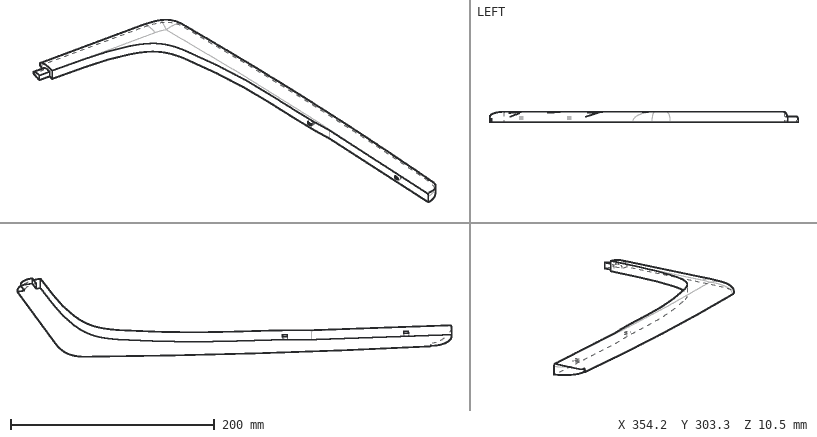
import cadquery as cq
import math

height = 10.5
lip_height = 1.0
arm_width = 24.0

short_heading = 98.9
short_length = 117.2
easy_radius = 67.3
bends = [
    (easy_radius, 15.2),
    (arm_width, 57.1),
    (3896.5, 5.6),
]

short_lean = math.radians(short_heading - 90)
short_end = (
    short_length * math.sin(short_lean) + easy_radius * (1 - math.cos(short_lean)),
    10.3,
)

web_points = [
    (36.5, 60.2), (35.0, 94.0), (42.5, 127.5), (73.0, 154.8), (125.7, 186.0), (227.5, 234.5),
]
tip_point = (354.2, 289.5)
tip_middle = (345.7, 300.0)
tip_start = (325.0, 301.0)
tip_rounding = 2.0

tenon_inset = 7.5
tenon_width = 12.0
tenon_height = 6.0
tenon_length = 11.7

slot_centers = [(203.5, 223.5), (312.8, 272.0)]
slot_heading = 24.0
slot_length = 4.5
slot_height = 2.0
slot_level = 4.5
slot_depth = 3.5

margin = 35.5


def step(point, heading, distance):
    """Point reached by moving a distance along a heading."""
    angle = math.radians(heading)
    return (point[0] + distance * math.cos(angle), point[1] + distance * math.sin(angle))


def edge_section(point, heading, width, top, lip):
    """Section across the arm, starting at its outer edge and reaching inward."""
    inward = step((0, 0), heading - 90, 1)
    backward = step((0, 0), heading + 180, 1)
    plane = cq.Plane(origin=(*point, 0), xDir=(*inward, 0), normal=(*backward, 0))
    return (
        cq.Workplane(plane)
        .lineTo(0, lip)
        .ellipseArc(width, top - lip, 90, 180, sense=-1)
        .lineTo(width, 0)
        .close()
    )


def make_rail():
    """Rounded outer part of both arms, and the line along its inner side."""
    point = short_end
    heading = short_heading
    inner_line = cq.Workplane("XY").moveTo(*step(point, heading - 90, arm_width))

    rail = edge_section(point, heading, arm_width, height, lip_height).extrude(-short_length)
    point = step(point, heading, short_length)
    inner_line = inner_line.lineTo(*step(point, heading - 90, arm_width))

    for radius, turn in bends:
        profile = edge_section(point, heading, arm_width, height, lip_height)
        rail = rail.union(profile.revolve(turn, (radius, 0), (radius, -1)))

        center = step(point, heading - 90, radius)
        inner_radius = radius - arm_width
        middle = step(center, heading - turn / 2 + 90, inner_radius)
        heading -= turn
        point = step(center, heading + 90, radius)
        if inner_radius > 0:
            inner_line = inner_line.threePointArc(middle, step(center, heading + 90, inner_radius))
    return rail, inner_line


def make_blank():
    """Full-height blank with the finished inner edge, tip and short end, oversize elsewhere."""
    short_inner = step(short_end, short_heading - 90, arm_width)
    short_outer = step(short_end, short_heading + 90, margin)
    blank = (
        cq.Workplane("XY")
        .moveTo(*short_inner)
        .spline(web_points, includeCurrent=True)
        .lineTo(*tip_point)
        .threePointArc(tip_middle, tip_start)
        .lineTo(tip_start[0] - margin, tip_start[1] + margin)
        .lineTo(-margin, tip_start[1] + margin)
        .lineTo(*short_outer)
        .close()
        .extrude(height)
    )
    return blank.edges("%CIRCLE and >Z").fillet(tip_rounding)


def make_tenon():
    """Small quarter-elliptical stub reaching out of the short arm's end."""
    root = step(short_end, short_heading - 90, tenon_inset)
    return edge_section(root, short_heading, tenon_width, tenon_height, lip_height).extrude(tenon_length)


def make_slot(center):
    """Shallow slot cut into the inner wall, lying along the long arm."""
    return (
        cq.Workplane("XY")
        .box(slot_length, 2 * slot_depth, slot_height)
        .rotate((0, 0, 0), (0, 0, 1), slot_heading)
        .translate((*center, slot_level))
    )


rail, inner_line = make_rail()
web = (
    inner_line
    .lineTo(tip_point[0] + margin, 0)
    .close()
    .extrude(height)
)
result = rail.union(web).intersect(make_blank())
result = result.union(make_tenon())
for slot_center in slot_centers:
    result = result.cut(make_slot(slot_center))